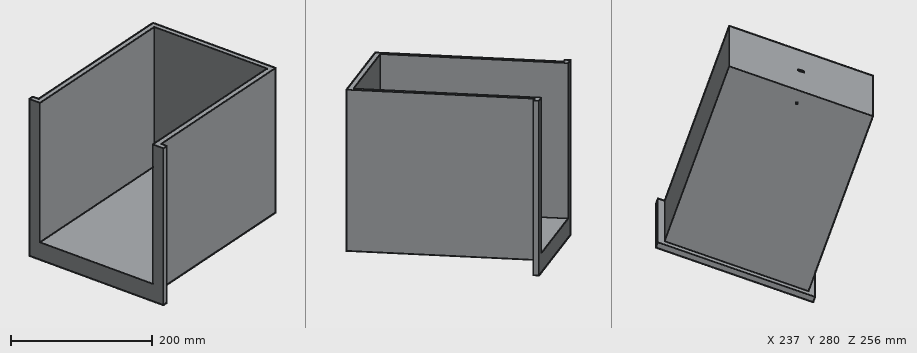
import cadquery as cq

width = 237.0
depth = 280.0
height = 256.0

wall = 8.7
flange_thickness = 8.5
flange_side = 10.0
flange_drop = 20.0

back_hole_diameter = 10.0
floor_hole_diameter = 2.5
floor_hole_from_back = 18.8

box_width = width - 2 * flange_side
cavity_width = box_width - 2 * wall
floor_top = flange_drop + wall
back_hole_height = (flange_drop + height) / 2


def block(size_x, y_start, y_end, z_start, z_end):
    """Block centred on X, spanning the given Y and Z limits."""
    return (
        cq.Workplane("XY")
        .box(size_x, y_end - y_start, z_end - z_start, centered=(True, False, False))
        .translate((0, y_start, z_start))
    )


body = block(box_width, 0, depth, flange_drop, height)
flange = block(width, 0, flange_thickness, 0, height)

cavity = block(cavity_width, 0, depth - wall, floor_top, height)

back_hole = (
    cq.Workplane("XZ", origin=(0, depth, back_hole_height))
    .circle(back_hole_diameter / 2)
    .extrude(wall)
)

floor_hole = (
    cq.Workplane("XY", origin=(0, depth - floor_hole_from_back, flange_drop))
    .circle(floor_hole_diameter / 2)
    .extrude(wall)
)

result = body.union(flange).cut(cavity).cut(back_hole).cut(floor_hole)